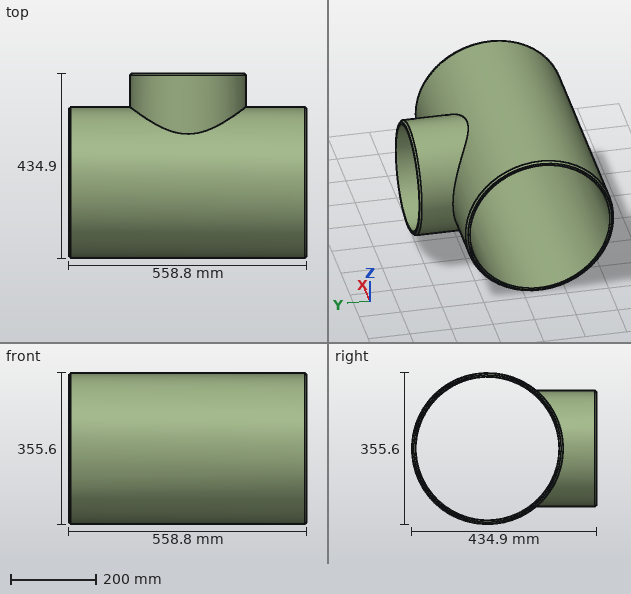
import cadquery as cq

run_outer_radius = 355.6 / 2
run_length = 558.8

branch_outer_radius = 273.05 / 2
branch_reach = 257.05

wall = 9.525
end_bevel = wall / 2

run_bore_radius = run_outer_radius - wall
branch_bore_radius = branch_outer_radius - wall

branch_plane = cq.Plane(origin=(0, 0, 0), xDir=(1, 0, 0), normal=(0, 1, 0))


def run_body():
    """Solid run cylinder, bevelled at both ends."""
    cylinder = cq.Workplane("YZ").circle(run_outer_radius).extrude(run_length / 2, both=True)
    return cylinder.faces("<X or >X").chamfer(end_bevel)


def branch_body():
    """Solid branch cylinder starting on the run axis, bevelled at its open end."""
    cylinder = cq.Workplane(branch_plane).circle(branch_outer_radius).extrude(branch_reach)
    return cylinder.faces(">Y").chamfer(end_bevel)


def run_bore():
    """Through bore of the run."""
    return cq.Workplane("YZ").circle(run_bore_radius).extrude(run_length / 2, both=True)


def branch_bore():
    """Bore of the branch, opening into the run bore."""
    return cq.Workplane(branch_plane).circle(branch_bore_radius).extrude(branch_reach)


result = run_body().union(branch_body()).cut(run_bore()).cut(branch_bore())